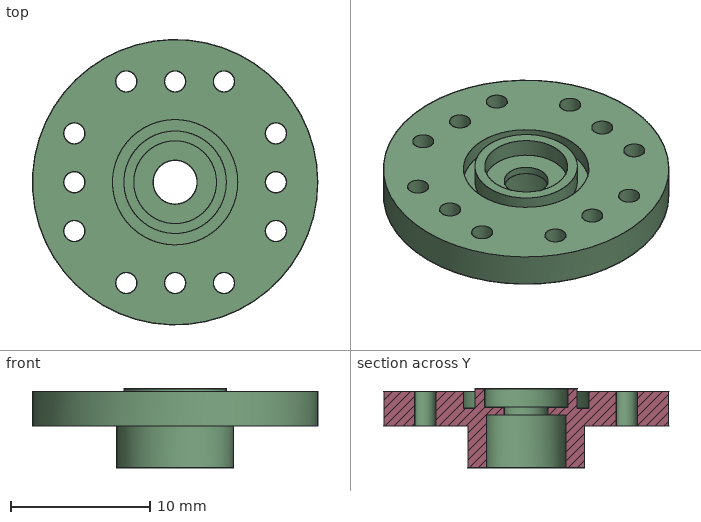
import cadquery as cq

flange_diameter = 20.5
flange_thickness = 2.5

hub_diameter = 8.4
hub_length = 3.0

groove_diameter = 9.0
groove_depth = 1.2
ring_diameter = 7.35
ring_rise = 0.2

pocket_diameter = 5.95
pocket_depth = 1.33
bore_diameter = 3.14
bore_length = 0.57
socket_diameter = 5.7

hole_diameter = 1.5
hole_pitch = 3.5
row_distance = 7.24


def cylinder(diameter, bottom, top):
    """Upright cylinder on the part axis between two heights."""
    return cq.Workplane("XY").workplane(offset=bottom).circle(diameter / 2).extrude(top - bottom)


def mounting_holes():
    """Cutters for the four rows of flange holes."""
    points = []
    for side in (-1, 1):
        for step in (-1, 0, 1):
            points.append((step * hole_pitch, side * row_distance))
            points.append((side * row_distance, step * hole_pitch))
    plane = cq.Workplane("XY").workplane(offset=-flange_thickness)
    return plane.pushPoints(points).circle(hole_diameter / 2).extrude(flange_thickness)


hub_bottom = -flange_thickness - hub_length
pocket_floor = ring_rise - pocket_depth
socket_ceiling = pocket_floor - bore_length

flange = cylinder(flange_diameter, -flange_thickness, 0)
hub = cylinder(hub_diameter, hub_bottom, -flange_thickness)
groove = cylinder(groove_diameter, -groove_depth, 0)
ring = cylinder(ring_diameter, -groove_depth, ring_rise)
pocket = cylinder(pocket_diameter, pocket_floor, ring_rise)
bore = cylinder(bore_diameter, socket_ceiling, pocket_floor)
socket = cylinder(socket_diameter, hub_bottom, socket_ceiling)

body = flange.union(hub).cut(groove).union(ring)
result = body.cut(pocket).cut(bore).cut(socket).cut(mounting_holes())